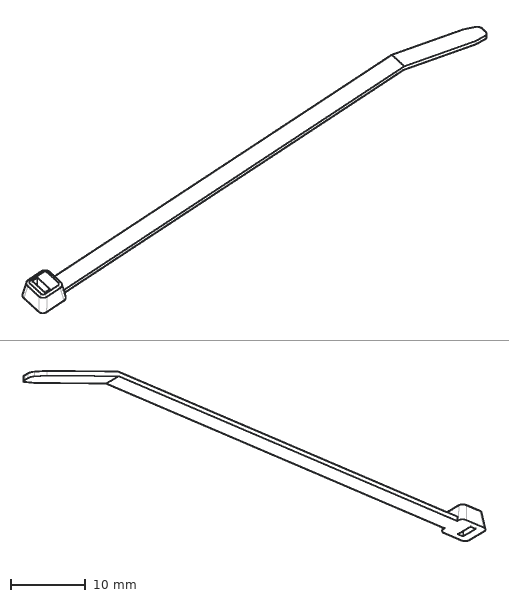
import cadquery as cq
import math

overall_length = 79.04
overall_height = 8.41

head_width = 4.57
head_length = 4.55
head_height = 2.83
head_draft_inset = 0.4
corner_radius = 0.75
top_chamfer_run = 0.38
top_chamfer_drop = 0.2

slot_width = 2.6
slot_length = 0.9
slot_front = 1.3

strap_width = 2.6
strap_thickness = 0.7
tail_run = 15.0
tip_width = 1.8
tip_taper_length = 2.5
tip_corner_radius = 0.7

bend_y = overall_length - tail_run
tip_bottom_z = head_height - overall_height


def make_head():
    """Block with drafted sides, rounded corners and a shallow chamfer round the top."""
    draft_angle = math.degrees(math.atan2(head_draft_inset, head_height))
    head = (
        cq.Workplane("XY", origin=(0, head_length / 2, 0))
        .rect(head_width, head_length)
        .extrude(head_height, taper=draft_angle)
    )
    head = head.edges("not(#Z)").fillet(corner_radius)
    return head.faces(">Z").chamfer(top_chamfer_drop, top_chamfer_run)


def make_strap():
    """Strap bent down at its upper face, with an upright end, tapered and rounded in plan."""
    tip_drop = strap_thickness - tip_bottom_z
    tip_distance = math.hypot(tail_run, tip_drop)
    bend_angle = math.atan2(tip_drop, tail_run) - math.asin(strap_thickness / tip_distance)
    lower_bend_y = bend_y - strap_thickness * math.tan(bend_angle / 2)
    tip_top_z = strap_thickness - tail_run * math.tan(bend_angle)

    start_y = slot_front + slot_length
    side_profile = (
        cq.Workplane("YZ")
        .polyline(
            [
                (start_y, 0),
                (lower_bend_y, 0),
                (overall_length, tip_bottom_z),
                (overall_length, tip_top_z),
                (bend_y, strap_thickness),
                (start_y, strap_thickness),
            ]
        )
        .close()
        .extrude(strap_width / 2, both=True)
    )
    taper_y = overall_length - tip_taper_length
    plan = (
        cq.Workplane("XY", origin=(0, 0, tip_bottom_z))
        .polyline(
            [
                (-strap_width / 2, start_y),
                (strap_width / 2, start_y),
                (strap_width / 2, taper_y),
                (tip_width / 2, overall_length),
                (-tip_width / 2, overall_length),
                (-strap_width / 2, taper_y),
            ]
        )
        .close()
        .extrude(overall_height)
        .edges("|Z and >Y")
        .fillet(tip_corner_radius)
    )
    return side_profile.intersect(plan)


def make_slot():
    """Rectangular passage up through the head."""
    return (
        cq.Workplane("XY", origin=(0, slot_front + slot_length / 2, 0))
        .rect(slot_width, slot_length)
        .extrude(head_height)
    )


result = make_head().union(make_strap()).cut(make_slot())